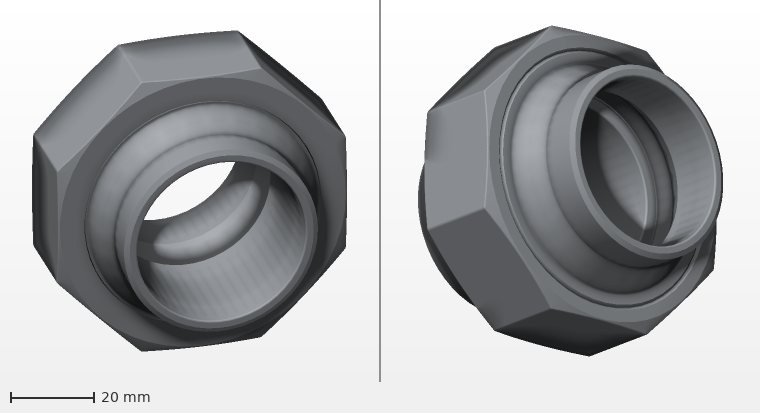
import cadquery as cq
import math


half_length = 29.0
pipe_radius = 48.3 / 2
bore_radius = 42.0 / 2
shoulder_x = 19.6
flare_angle = 30.0
weld_bevel_height = 1.25
weld_bevel_length = 0.75
bore_edge_radius = 0.5
flare_root_radius = 0.6
shoulder_radius = 0.5

nut_half_width = 12.0
across_flats = 72.0
nut_sides = 8
nut_edge_radius = 1.0
nut_chamfer_radius = 35.6
nut_chamfer_angle = 21.0
nut_rim_radius = 0.4
nut_mouth_radius = 65.0 / 2
nut_neck_radius = 59.0 / 2
nut_seat_x = 6.0

thread_radius = 63.7 / 2
thread_end_radius = 62.5 / 2
thread_chamfer = thread_radius - thread_end_radius
mouth_chamfer = nut_mouth_radius - thread_radius

socket_radius = 49.0 / 2
socket_cone_start_x = -15.0
recess_depth = 0.3
recess_radius = 24.0
joint_x = -3.7
flange_radius = 62.5 / 2
collar_radius = 58.5 / 2


def ring(profile):
    """Revolve a closed profile of (x, radius) about the X axis."""
    return profile.close().revolve(360, (0, 0, 0), (1, 0, 0))


def pipe_end_outline(base_radius):
    """Left-hand outline from the bore edge over the pipe and flare to the base face."""
    along = math.cos(math.radians(flare_angle))
    outward = math.sin(math.radians(flare_angle))
    flare_radius = pipe_radius + (shoulder_x - nut_half_width) * outward / along
    shoulder_tangent = shoulder_radius * math.tan(math.radians(flare_angle) / 2)
    flare_start = (-shoulder_x + shoulder_tangent * along, pipe_radius + shoulder_tangent * outward)
    root_tangent = flare_root_radius * math.tan(math.radians(90 - flare_angle) / 2)
    flare_end = (-nut_half_width - root_tangent * along, flare_radius - root_tangent * outward)
    face_start = (-nut_half_width, flare_radius + root_tangent)
    return (
        cq.Workplane("XY")
        .moveTo(-half_length + bore_edge_radius, bore_radius)
        .radiusArc((-half_length, bore_radius + bore_edge_radius), bore_edge_radius)
        .lineTo(-half_length, pipe_radius - weld_bevel_height)
        .lineTo(-half_length + weld_bevel_length, pipe_radius)
        .lineTo(-shoulder_x - shoulder_tangent, pipe_radius)
        .tangentArcPoint(flare_start, relative=False)
        .lineTo(*flare_end)
        .tangentArcPoint(face_start, relative=False)
        .lineTo(-nut_half_width, base_radius)
    )


def make_threaded_end():
    socket_cone_length = (socket_radius - bore_radius) / math.tan(math.radians(flare_angle))
    profile = (
        pipe_end_outline(thread_end_radius)
        .lineTo(-nut_half_width + thread_chamfer, thread_radius)
        .lineTo(joint_x, thread_radius)
        .lineTo(joint_x, socket_radius)
        .lineTo(socket_cone_start_x + socket_cone_length, socket_radius)
        .lineTo(socket_cone_start_x, bore_radius)
    )
    return ring(profile)


def make_tail_piece():
    profile = (
        pipe_end_outline(collar_radius)
        .lineTo(-nut_seat_x, collar_radius)
        .lineTo(-nut_seat_x, flange_radius)
        .lineTo(-joint_x, flange_radius)
        .lineTo(-joint_x, recess_radius)
        .lineTo(-joint_x - recess_depth, recess_radius)
        .lineTo(-joint_x - recess_depth, bore_radius + bore_edge_radius)
        .radiusArc((-joint_x - recess_depth - bore_edge_radius, bore_radius), bore_edge_radius)
    )
    return ring(profile).mirror("YZ")


def make_nut():
    across_corners = across_flats / math.cos(math.pi / nut_sides)
    octagon = (
        cq.Workplane("YZ")
        .workplane(offset=-nut_half_width)
        .transformed(rotate=(0, 0, math.degrees(math.pi / nut_sides)))
        .polygon(nut_sides, across_corners)
        .extrude(2 * nut_half_width)
        .edges("|X")
        .fillet(nut_edge_radius)
    )
    corner_radius = across_corners / 2
    chamfer_length = (corner_radius - nut_chamfer_radius) * math.tan(math.radians(nut_chamfer_angle))
    envelope = ring(
        cq.Workplane("XY")
        .moveTo(-nut_half_width, 0)
        .lineTo(-nut_half_width, nut_chamfer_radius)
        .lineTo(-nut_half_width + chamfer_length, corner_radius)
        .lineTo(nut_half_width - chamfer_length, corner_radius)
        .lineTo(nut_half_width, nut_chamfer_radius)
        .lineTo(nut_half_width, 0)
    )
    cavity = ring(
        cq.Workplane("XY")
        .moveTo(-nut_half_width, 0)
        .lineTo(-nut_half_width, nut_mouth_radius)
        .lineTo(-nut_half_width + mouth_chamfer, thread_radius)
        .lineTo(nut_seat_x, thread_radius)
        .lineTo(nut_seat_x, nut_neck_radius)
        .lineTo(nut_half_width, nut_neck_radius)
        .lineTo(nut_half_width, 0)
    )
    chamfered = octagon.intersect(envelope)
    chamfer_edges = chamfered.edges("(not |X) and (not %CIRCLE)")
    return chamfer_edges.fillet(nut_rim_radius).cut(cavity)


threaded_end = make_threaded_end()
tail_piece = make_tail_piece()
nut = make_nut()

result = cq.Compound.makeCompound([threaded_end.val(), tail_piece.val(), nut.val()])